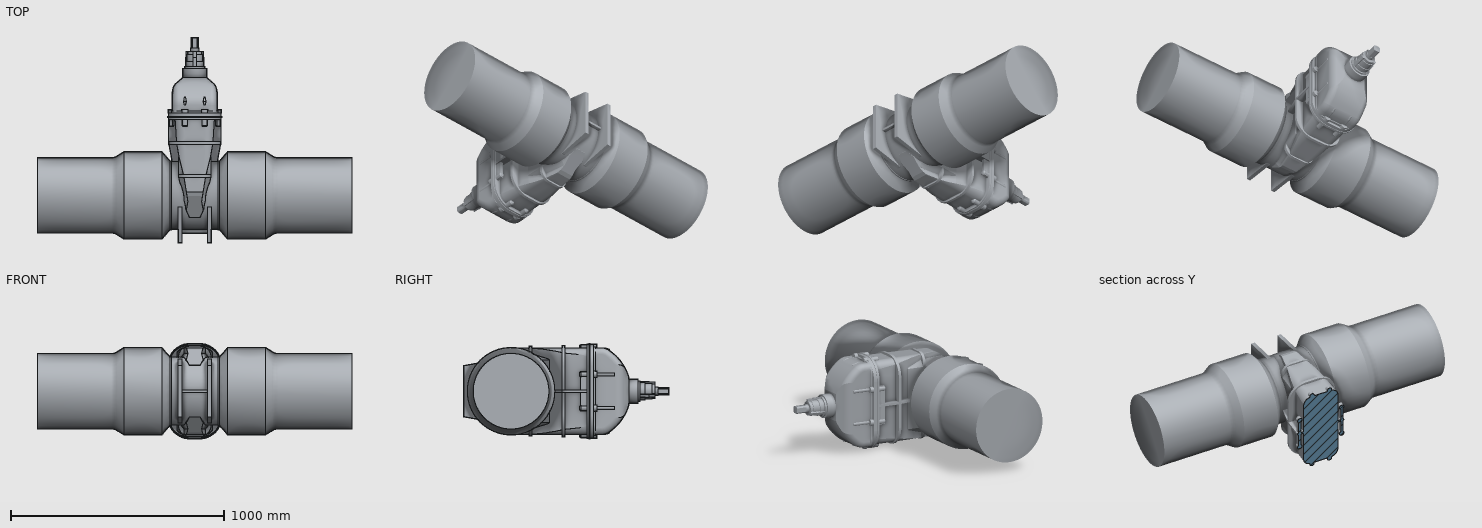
import cadquery as cq
import math


total_length = 1475.9
pipe_diameter = 355.0
socket_diameter = 410.6
neck_diameter = 319.0
neck_half_length = 109.7
socket_inner_x = 154.0
socket_outer_x = 331.0
lip_radius = 162.0
lip_width = 7.0
taper_length = 36.0
taper_blend_length = 18.0

plate_end_y = -222.0
plate_start_y = -59.0
plate_thickness = 18.5
plate_center_x = 69.0
plate_end_half_height = 120.0
plate_start_half_height = 150.0
crossbar_thickness = 11.0
crossbar_end_y = -178.0

body_half_height = 203.0
body_tip_y = -104.0
body_slope_start_y = -3.0
body_slope_start_z = 195.0
body_slope_blend_length = 20.0
body_tip_z = 122.0
body_start_half_width = 92.0
body_edge_radius = 42.0
ridge_half_widths = [(245.0, 85.0), (181.0, 74.0), (94.0, 52.0), (-3.0, 36.0)]
ridge_tip_half_width = 21.0
crown_half_widths = [(160.0, 87.0), (94.0, 82.0)]
crown_tip_half_width = 64.0
flare_start = (180.0, 77.0)
flare_half_widths = [(94.0, 76.0), (-29.0, 58.0)]
flare_tip_half_width = 25.0
flare_base_z = 146.0
flare_height = 32.0
flare_lean_angle = 38.0

hoop_thickness = 13.0
hoops = [(246.0, 122.0, 215.0, 95.0), (91.0, 76.0, 211.0, 50.0)]

rib_thickness = 11.0
rib_half_width = 123.5
rib_taper_start_y = 252.0
rib_taper_end_y = 140.0
rib_taper_end_half_width = 103.0

flange_start_y = 357.0
flange_end_y = 386.0
flange_half_width = 124.0
flange_half_height = 221.0
flange_corner_radius = 102.0
seal_center_y = 367.5
seal_thickness = 5.0
seal_projection = 2.66

bonnet_end_y = 552.5
bonnet_half_width = 104.0
dome_apex_y = 562.0
dome_crest_radius = 231.6
dome_corner_radius = 70.0
dome_edge_radius = 30.0
shoulder_start_y = 491.0
shoulder_middle = (97.0, 514.0)
shoulder_end = (84.0, 529.0)
collar_corner_radius = 50.0
collar_end_y = 396.5
collar_projection = 5.0
lug_half_width = 84.0
lug_half_height = 194.0
lug_end_y = 416.5

side_bolt_x = 110.0
side_bolt_z = 79.0
end_bolt_x = 46.0
end_bolt_z = 206.0
bolt_head_radius = 15.0
bolt_head_end_y = 402.0
bolt_tip_radius = 13.0
bolt_tip_y = 322.0
bolt_tip_chamfer = 5.0
boss_radius = 9.5
side_boss_x = 98.0
side_boss_end_y = 485.0
end_boss_z = 194.0
end_boss_end_y = 440.0
end_boss_tip_y = 462.0
boss_tip_radius = 1.5
pad_inner_x = 104.0
pad_outer_x = 118.0
pad_half_height = 92.0
pad_end_y = 326.0

bonnet_neck_radius = 56.5
bonnet_neck_end_y = 596.0
gland_steps = [(605.0, 48.0), (628.0, 41.5), (661.0, 37.5), (675.0, 34.0)]
gland_rib_count = 3
gland_rib_width = 15.0
gland_rib_reach = 45.5
gland_rib_notch_y = 647.0
gland_rib_notch_reach = 43.5
spindle_diameter = 40.0
spindle_collar_end_y = 690.0
spindle_end_y = 739.5
spindle_square = 34.0


def along_y(radius, start_y, end_y, x=0.0, z=0.0):
    """Cylinder parallel to Y."""
    return cq.Workplane(
        cq.Solid.makeCylinder(radius, end_y - start_y, cq.Vector(x, start_y, z), cq.Vector(0, 1, 0))
    )


def block(x_range, y_range, z_range):
    """Box given by its ranges along X, Y and Z."""
    size = [high - low for low, high in (x_range, y_range, z_range)]
    return cq.Workplane().box(*size, centered=False).translate((x_range[0], y_range[0], z_range[0]))


def rounded_slab(half_width, half_height, corner_radius, start_y, end_y):
    """Rectangle in XZ with rounded corners, extruded along Y."""
    slab = block((-half_width, half_width), (start_y, end_y), (-half_height, half_height))
    return slab.edges("|Y").fillet(corner_radius)


def mirrored_outline(points):
    """Points of an outline followed by their reflection across the first coordinate's zero."""
    return points + [(-u, v) for u, v in reversed(points)]


def make_pipe():
    pipe_radius = pipe_diameter / 2
    socket_radius = socket_diameter / 2
    taper_start_x = socket_outer_x + taper_length
    blend_end_x = taper_start_x + taper_blend_length
    rise = socket_radius - pipe_radius
    slope = rise / (taper_length + taper_blend_length / 2)
    blend_start_radius = socket_radius - slope * taper_length
    end = (
        cq.Workplane("XY")
        .moveTo(neck_half_length, 0)
        .lineTo(neck_half_length, lip_radius)
        .lineTo(neck_half_length + lip_width, lip_radius)
        .lineTo(socket_inner_x, socket_radius)
        .lineTo(socket_outer_x, socket_radius)
        .lineTo(taper_start_x, blend_start_radius)
        .tangentArcPoint((blend_end_x, pipe_radius), relative=False)
        .lineTo(total_length / 2, pipe_radius)
        .lineTo(total_length / 2, 0)
        .close()
        .revolve(360, (0, 0, 0), (1, 0, 0))
    )
    neck = cq.Workplane("YZ").circle(neck_diameter / 2).extrude(neck_half_length, both=True)
    return neck.union(end).union(end.mirror("YZ"))


def make_supports():
    outline = [
        (0, plate_start_half_height),
        (plate_start_y, plate_start_half_height),
        (plate_end_y, plate_end_half_height),
        (plate_end_y, -plate_end_half_height),
        (plate_start_y, -plate_start_half_height),
        (0, -plate_start_half_height),
    ]
    plate = cq.Workplane("YZ").polyline(outline).close().extrude(plate_thickness / 2, both=True)
    crossbar = block(
        (-plate_center_x, plate_center_x),
        (crossbar_end_y, 0),
        (-crossbar_thickness / 2, crossbar_thickness / 2),
    )
    supports = crossbar
    for side in (-1, 1):
        supports = supports.union(plate.translate((side * plate_center_x, 0, 0)))
    return supports


def make_body_plan(start, half_widths, tip_half_width):
    """Outline in XY that narrows down to the tip, symmetric about the spindle axis."""
    half_plan = [(half_width, y) for y, half_width in [start] + half_widths]
    half_plan += [(tip_half_width, body_tip_y)]
    return cq.Workplane("XY").polyline(mirrored_outline(half_plan)).close()


def make_flare():
    """Widening of the body where it runs out onto the neck."""
    upright = make_body_plan(flare_start, flare_half_widths, flare_tip_half_width)
    leaning = make_body_plan(flare_start, flare_half_widths, flare_tip_half_width)
    cap = leaning.extrude(flare_height, taper=flare_lean_angle).translate((0, 0, flare_base_z))
    return upright.extrude(flare_base_z, both=True).union(cap).union(cap.mirror("XY"))


def make_body():
    start = (flange_start_y, body_start_half_width)
    ridge = make_body_plan(start, ridge_half_widths, ridge_tip_half_width)
    ridge = ridge.extrude(body_half_height, both=True)
    crown = make_body_plan(start, crown_half_widths, crown_tip_half_width)
    crown = crown.extrude(body_half_height, both=True)
    crown = crown.faces("<Z or >Z").edges("not(|X)").fillet(body_edge_radius)
    half_profile = [
        (body_half_height, flange_start_y),
        (body_half_height, body_slope_start_y + body_slope_blend_length),
        (body_slope_start_z, body_slope_start_y),
        (body_tip_z, body_tip_y),
    ]
    profile = [(y, z) for z, y in mirrored_outline(half_profile)]
    sloped_ends = cq.Workplane("YZ").polyline(profile).close().extrude(body_start_half_width, both=True)
    return ridge.intersect(crown).union(make_flare()).intersect(sloped_ends)


def make_side_rib():
    half_plan = [
        (rib_half_width, flange_start_y),
        (rib_half_width, rib_taper_start_y),
        (rib_taper_end_half_width, rib_taper_end_y),
    ]
    plan = cq.Workplane("XY").polyline(mirrored_outline(half_plan)).close()
    return plan.extrude(rib_thickness / 2, both=True)


def make_hoops():
    rings = cq.Workplane()
    for center_y, half_width, half_height, corner_radius in hoops:
        start_y = center_y - hoop_thickness / 2
        end_y = center_y + hoop_thickness / 2
        rings = rings.add(rounded_slab(half_width, half_height, corner_radius, start_y, end_y))
    return rings.combine()


def make_flange():
    flange = rounded_slab(
        flange_half_width, flange_half_height, flange_corner_radius, flange_start_y, flange_end_y
    )
    seal = rounded_slab(
        flange_half_width + seal_projection,
        flange_half_height + seal_projection,
        flange_corner_radius + seal_projection,
        seal_center_y - seal_thickness / 2,
        seal_center_y + seal_thickness / 2,
    )
    return flange.union(seal)


def make_bonnet():
    crest_center_y = dome_apex_y - dome_crest_radius
    corner_center_z = body_half_height - dome_corner_radius
    center_distance = dome_crest_radius - dome_corner_radius
    corner_center_y = crest_center_y + math.sqrt(center_distance**2 - corner_center_z**2)
    reach = dome_crest_radius / center_distance
    crest_start_y = crest_center_y + (corner_center_y - crest_center_y) * reach
    crest_start_z = corner_center_z * reach
    dome = (
        cq.Workplane("YZ")
        .moveTo(flange_end_y, -body_half_height)
        .lineTo(corner_center_y, -body_half_height)
        .tangentArcPoint((crest_start_y, -crest_start_z), relative=False)
        .threePointArc((dome_apex_y, 0), (crest_start_y, crest_start_z))
        .tangentArcPoint((corner_center_y, body_half_height), relative=False)
        .lineTo(flange_end_y, body_half_height)
        .close()
        .extrude(bonnet_half_width, both=True)
    )
    dome = dome.faces("<X or >X").edges("not(<Y)").fillet(dome_edge_radius)
    shoulder_plan = (
        cq.Workplane("XY")
        .moveTo(bonnet_half_width, flange_end_y)
        .lineTo(bonnet_half_width, shoulder_start_y)
        .threePointArc(shoulder_middle, shoulder_end)
        .lineTo(bonnet_neck_radius, bonnet_end_y)
        .lineTo(0, bonnet_end_y)
        .lineTo(0, flange_end_y)
        .close()
        .extrude(body_half_height, both=True)
    )
    shoulders = shoulder_plan.union(shoulder_plan.mirror("YZ"))
    bonnet = dome.intersect(shoulders)
    collar = rounded_slab(
        bonnet_half_width + collar_projection,
        body_half_height + collar_projection,
        collar_corner_radius,
        flange_end_y,
        collar_end_y,
    )
    lugs = block(
        (-lug_half_width, lug_half_width),
        (flange_end_y, lug_end_y),
        (-lug_half_height, lug_half_height),
    )
    return bonnet.union(collar).union(lugs)


def make_bolt(x, z):
    head = along_y(bolt_head_radius, flange_end_y, bolt_head_end_y, x, z)
    tip = along_y(bolt_tip_radius, bolt_tip_y, flange_start_y, x, z)
    return head, tip.faces("<Y").chamfer(bolt_tip_chamfer)


def add_bolts(valve):
    end_boss_tip = cq.Workplane(
        cq.Solid.makeCone(
            boss_radius,
            boss_tip_radius,
            end_boss_tip_y - end_boss_end_y,
            cq.Vector(0, end_boss_end_y, 0),
            cq.Vector(0, 1, 0),
        )
    )
    for side_x in (-1, 1):
        pad_edges = sorted((side_x * pad_inner_x, side_x * pad_outer_x))
        pad = block(pad_edges, (pad_end_y, flange_start_y), (-pad_half_height, pad_half_height))
        valve = valve.union(pad)
        for side_z in (-1, 1):
            for part in make_bolt(side_x * side_bolt_x, side_z * side_bolt_z):
                valve = valve.union(part)
            for part in make_bolt(side_x * end_bolt_x, side_z * end_bolt_z):
                valve = valve.union(part)
            side_boss = along_y(
                boss_radius, flange_end_y, side_boss_end_y, side_x * side_boss_x, side_z * side_bolt_z
            )
            end_x = side_x * end_bolt_x
            end_z = side_z * end_boss_z
            end_boss = along_y(boss_radius, flange_end_y, end_boss_end_y, end_x, end_z)
            valve = valve.union(side_boss).union(end_boss)
            valve = valve.union(end_boss_tip.translate((end_x, 0, end_z)))
    return valve


def make_spindle():
    spindle = along_y(bonnet_neck_radius, collar_end_y, bonnet_neck_end_y)
    start_y = bonnet_neck_end_y
    for end_y, radius in gland_steps:
        spindle = spindle.union(along_y(radius, start_y, end_y))
        start_y = end_y
    gland_end_y = start_y
    half_rib = gland_rib_width / 2
    rib = block((-half_rib, half_rib), (bonnet_neck_end_y, gland_rib_notch_y), (0, gland_rib_reach))
    rib_top = block((-half_rib, half_rib), (gland_rib_notch_y, gland_end_y), (0, gland_rib_notch_reach))
    rib = rib.union(rib_top)
    for index in range(gland_rib_count):
        angle = 360 / gland_rib_count * index
        spindle = spindle.union(rib.rotate((0, 0, 0), (0, 1, 0), angle))
    spindle = spindle.union(along_y(spindle_diameter / 2, gland_end_y, spindle_collar_end_y))
    half_square = spindle_square / 2
    square_end = block(
        (-half_square, half_square),
        (spindle_collar_end_y, spindle_end_y),
        (-half_square, half_square),
    )
    round_bar = along_y(spindle_diameter / 2, spindle_collar_end_y, spindle_end_y)
    return spindle.union(square_end.intersect(round_bar))


valve = make_pipe().union(make_supports()).union(make_body()).union(make_side_rib())
valve = valve.union(make_hoops()).union(make_flange()).union(make_bonnet())
result = add_bolts(valve).union(make_spindle())